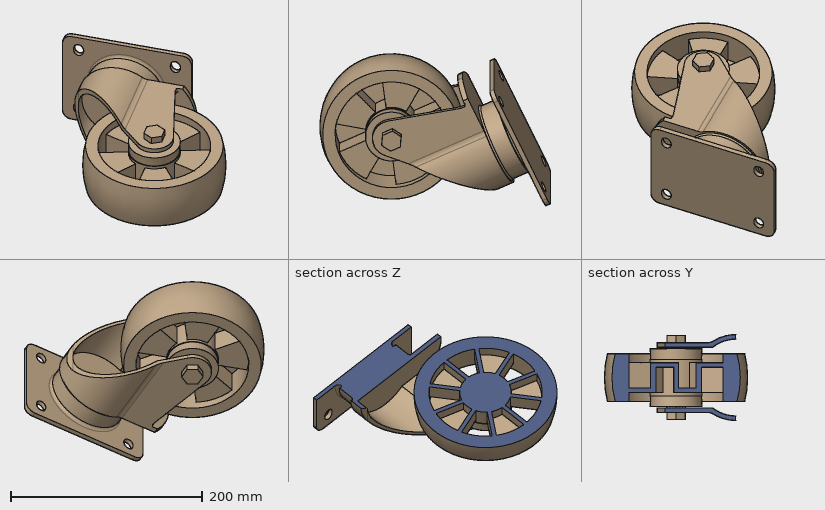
import cadquery as cq
import math


PLATE_LENGTH = 140.0
PLATE_WIDTH = 110.0
PLATE_THICKNESS = 5.0
PLATE_CORNER_RADIUS = 10.0
HOLE_SPACING_X = 105.0
HOLE_SPACING_Z = 77.2
HOLE_WIDTH = 11.0
HOLE_LENGTH = 14.1

NECK_RADIUS = 38.0
NECK_LENGTH = 5.0
BEARING_DIAMETER = 83.3
BEARING_LENGTH = 18.5
FOOT_LENGTH = 2.0
FOOT_FLARE = 1.2

SHEET = 5.0
FORK_RADIUS = 45.0
ARM_OUTER_Z = 36.5
BEND_RADIUS = 11.5
TAB_CORNER_X = 69.4
TAB_TIP_X = 83.0
TAB_THICKNESS = 5.6
BACK_LENGTH = 15.2
BACK_INNER_LENGTH = 19.5
ARM_END_RADIUS = 20.0
NOTCH_RADIUS = 1.7
ARM_TAPER_DROP = 11.5

WHEEL_X = 62.7
WHEEL_Y = -121.7
WHEEL_RADIUS = 75.0
WHEEL_EDGE_RADIUS = 71.8
WHEEL_WIDTH = 50.0
RIM_DIAMETER = 117.7
HUB_DIAMETER = 54.5
HUB_LENGTH = 60.6
HUB_CAP_LENGTH = 11.2
HUB_CAP_TAPER = 0.6
WEB_RECESS = 9.3
WEB_THICKNESS = 5.0
SPOKE_COUNT = 10

AXLE_DIAMETER = 20.0
HEX_ACROSS_FLATS = 19.5
BOLT_LENGTH = 88.0

NECK_Y = -PLATE_THICKNESS
BEARING_Y = NECK_Y - NECK_LENGTH
FOOT_Y = BEARING_Y - BEARING_LENGTH
FORK_Y = FOOT_Y - FOOT_LENGTH


def disc(radius, length):
    """Solid cylinder on the wheel axis, centred on Z = 0."""
    return cq.Workplane("XY").center(WHEEL_X, WHEEL_Y).circle(radius).extrude(length / 2, both=True)


def make_plate():
    """Rounded mounting plate with four oval bolt holes."""
    plate = cq.Workplane("XZ").rect(PLATE_LENGTH, PLATE_WIDTH).extrude(PLATE_THICKNESS)
    plate = plate.edges("|Y").fillet(PLATE_CORNER_RADIUS)
    holes = (
        cq.Workplane("XZ")
        .rect(HOLE_SPACING_X, HOLE_SPACING_Z, forConstruction=True)
        .vertices()
        .ellipse(HOLE_WIDTH / 2, HOLE_LENGTH / 2)
        .extrude(PLATE_THICKNESS)
    )
    return plate.cut(holes)


def make_bearing():
    """Turned swivel bearing: neck with a concave quarter-round flare, plain drum and a flared foot."""
    drum_radius = BEARING_DIAMETER / 2
    diagonal = NECK_LENGTH * (1 - math.sqrt(0.5))
    profile = (
        cq.Workplane("XY")
        .moveTo(0, NECK_Y)
        .lineTo(NECK_RADIUS + NECK_LENGTH, NECK_Y)
        .threePointArc((NECK_RADIUS + diagonal, NECK_Y - diagonal), (NECK_RADIUS, BEARING_Y))
        .lineTo(drum_radius, BEARING_Y)
        .lineTo(drum_radius, FOOT_Y)
        .lineTo(drum_radius + FOOT_FLARE, FORK_Y)
        .lineTo(0, FORK_Y)
        .close()
    )
    return profile.revolve(360, (0, 0, 0), (0, 1, 0))


def tube_with_sides(radius, half_width, end_x, depth):
    """Upright tube on the swivel axis whose outline runs on into two parallel sides ending at end_x."""
    join_x = math.sqrt(radius**2 - half_width**2)
    return (
        cq.Workplane("XZ", origin=(0, FORK_Y, 0))
        .moveTo(join_x, half_width)
        .threePointArc((-radius, 0), (join_x, -half_width))
        .lineTo(end_x, -half_width)
        .lineTo(end_x, half_width)
        .close()
        .extrude(depth)
    )


def tangent_point(start, side):
    """Point where a line from start touches the arm end circle, on the chosen side (+1 or -1)."""
    dx = start[0] - WHEEL_X
    dy = start[1] - WHEEL_Y
    angle = math.atan2(dy, dx) + side * math.acos(ARM_END_RADIUS / math.hypot(dx, dy))
    return (WHEEL_X + ARM_END_RADIUS * math.cos(angle), WHEEL_Y + ARM_END_RADIUS * math.sin(angle))


def make_fork_blank():
    """Bent sheet before trimming: full-depth walls closed by the top sheet."""
    depth = FORK_Y - WHEEL_Y + ARM_END_RADIUS
    arm_end_x = WHEEL_X + ARM_END_RADIUS
    outer = tube_with_sides(FORK_RADIUS, ARM_OUTER_Z, arm_end_x, depth)
    join_x = math.sqrt(FORK_RADIUS**2 - ARM_OUTER_Z**2)
    bends = cq.selectors.BoxSelector(
        (join_x - SHEET, FORK_Y - depth, -FORK_RADIUS),
        (join_x + SHEET, FORK_Y, FORK_RADIUS),
    )
    outer = outer.edges("|Y").edges(bends).fillet(BEND_RADIUS)
    inner = tube_with_sides(FORK_RADIUS - SHEET, ARM_OUTER_Z - SHEET, arm_end_x, depth)
    return outer.cut(inner.translate((0, -TAB_THICKNESS, 0)))


def make_fork_side():
    """Side outline that trims the fork: sloped back, round arm ends and a notch below the tab."""
    tab_y = FORK_Y - TAB_THICKNESS
    back = (-FORK_RADIUS, FORK_Y - BACK_LENGTH)
    back_inner = (SHEET - FORK_RADIUS, FORK_Y - BACK_INNER_LENGTH)
    taper_start = (WHEEL_X, FORK_Y - ARM_TAPER_DROP)
    return (
        cq.Workplane("XY")
        .moveTo(TAB_TIP_X, FORK_Y)
        .lineTo(TAB_TIP_X, tab_y)
        .lineTo(WHEEL_X + NOTCH_RADIUS, tab_y)
        .radiusArc((WHEEL_X, tab_y - NOTCH_RADIUS), -NOTCH_RADIUS)
        .lineTo(*taper_start)
        .lineTo(*tangent_point(taper_start, -1))
        .threePointArc((WHEEL_X, WHEEL_Y - ARM_END_RADIUS), tangent_point(back_inner, 1))
        .lineTo(*back_inner)
        .tangentArcPoint(back, relative=False)
        .lineTo(-FORK_RADIUS, FORK_Y)
        .close()
        .extrude(FORK_RADIUS, both=True)
    )


def make_tab_trim():
    """Material removed in front of the bowed edge of the top tab."""
    return (
        cq.Workplane("XZ", origin=(0, FORK_Y, 0))
        .moveTo(TAB_CORNER_X, ARM_OUTER_Z)
        .threePointArc((TAB_TIP_X, 0), (TAB_CORNER_X, -ARM_OUTER_Z))
        .lineTo(TAB_TIP_X, -ARM_OUTER_Z)
        .lineTo(TAB_TIP_X, ARM_OUTER_Z)
        .close()
        .extrude(TAB_THICKNESS)
    )


def make_fork():
    """Swivel fork: round back, two arms and a top sheet ending in a bowed tab."""
    return make_fork_blank().intersect(make_fork_side()).cut(make_tab_trim())


def make_tyre():
    """Rim and crowned tread as one ring."""
    half_width = WHEEL_WIDTH / 2
    rim_radius = RIM_DIAMETER / 2
    return (
        cq.Workplane("XZ", origin=(WHEEL_X, WHEEL_Y, 0))
        .moveTo(rim_radius, -half_width)
        .lineTo(WHEEL_EDGE_RADIUS, -half_width)
        .threePointArc((WHEEL_RADIUS, 0), (WHEEL_EDGE_RADIUS, half_width))
        .lineTo(rim_radius, half_width)
        .close()
        .revolve(360, (0, 0, 0), (0, 1, 0))
    )


def make_pocket(web_width):
    """Wedge between two neighbouring spokes, open toward +Z, pointing along +X from the origin."""
    depth = web_width - WEB_THICKNESS
    half_angle = math.radians(180 / SPOKE_COUNT)
    tip_x = WEB_THICKNESS / 2 / math.sin(half_angle)
    end_x = RIM_DIAMETER
    end_half_width = (end_x - tip_x) * math.tan(half_angle)
    limit = cq.Workplane("XY").circle(RIM_DIAMETER / 2).extrude(web_width, both=True)
    return (
        cq.Workplane("XY", origin=(0, 0, web_width / 2 - depth))
        .moveTo(tip_x, 0)
        .lineTo(end_x, -end_half_width)
        .lineTo(end_x, end_half_width)
        .close()
        .extrude(depth)
        .intersect(limit)
    )


def make_web():
    """Zigzag web: pockets open alternately to either side and leave radial spokes between them."""
    web_width = WHEEL_WIDTH - 2 * WEB_RECESS
    web = disc(RIM_DIAMETER / 2, web_width)
    upper_pocket = make_pocket(web_width)
    lower_pocket = upper_pocket.mirror("XY")
    for index in range(SPOKE_COUNT):
        pocket = upper_pocket if index % 2 else lower_pocket
        pocket = pocket.rotate((0, 0, 0), (0, 0, 1), index * 360 / SPOKE_COUNT)
        web = web.cut(pocket.translate((WHEEL_X, WHEEL_Y, 0)))
    return web


def make_hub():
    """Plain core with an end cap on each side that widens slightly outward."""
    half_length = HUB_LENGTH / 2
    radius = HUB_DIAMETER / 2
    cap_base_z = half_length - HUB_CAP_LENGTH
    cap = (
        cq.Workplane("XZ", origin=(WHEEL_X, WHEEL_Y, 0))
        .moveTo(0, cap_base_z)
        .lineTo(radius - HUB_CAP_TAPER, cap_base_z)
        .lineTo(radius, half_length)
        .lineTo(0, half_length)
        .close()
        .revolve(360, (0, 0, 0), (0, 1, 0))
    )
    return disc(radius, 2 * cap_base_z).union(cap).union(cap.mirror("XY"))


def make_bolt():
    """Axle shank with a hexagon showing outside each fork arm."""
    corner_diameter = HEX_ACROSS_FLATS / math.cos(math.radians(30))
    shank = disc(AXLE_DIAMETER / 2, 2 * ARM_OUTER_Z)
    hexagon = (
        cq.Workplane("XY", origin=(WHEEL_X, WHEEL_Y, 0))
        .transformed(rotate=(0, 0, 30))
        .polygon(6, corner_diameter)
        .extrude(BOLT_LENGTH / 2, both=True)
    )
    return shank.union(hexagon)


result = (
    make_plate()
    .union(make_bearing())
    .union(make_fork())
    .union(make_tyre())
    .union(make_web())
    .union(make_hub())
    .union(make_bolt())
)